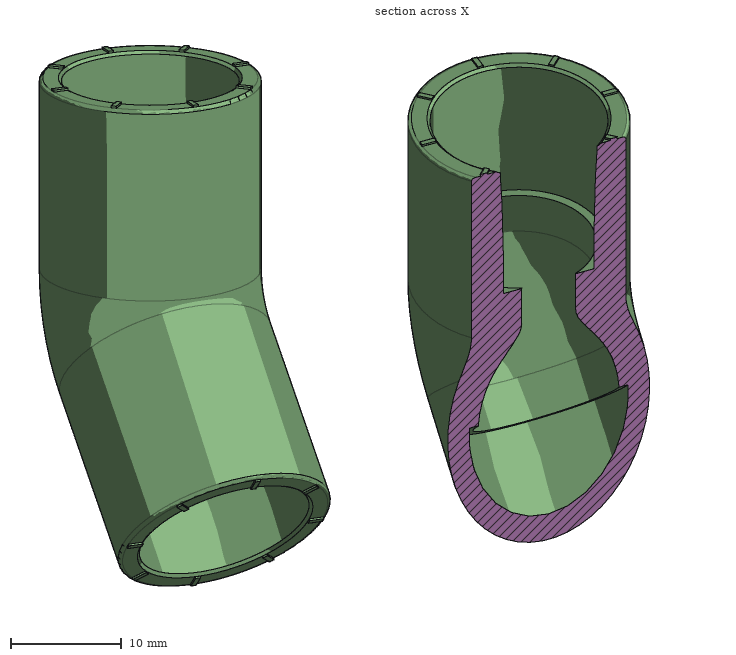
import cadquery as cq
import math


outer_radius = 10.05
bore_radius = 7.0
bend_angle = 45.0
bend_radius = 10.98
leg_length = 18.0

socket_depth = 14.0
socket_mouth_radius = 8.05
socket_floor_radius = 7.85

outer_edge_fillet = 0.3
inner_edge_chamfer = 0.27
mark_count = 8
mark_width = 0.5
mark_height = 0.2

floor_height = leg_length - socket_depth
face_inner_radius = socket_mouth_radius + inner_edge_chamfer
face_outer_radius = outer_radius - outer_edge_fillet


def make_leg():
    """Socket leg standing on the XY plane, with its mouth at the top."""
    fillet_mid = outer_edge_fillet * (1 - math.sqrt(0.5))
    profile = (
        cq.Workplane("XZ")
        .moveTo(bore_radius, 0)
        .lineTo(outer_radius, 0)
        .lineTo(outer_radius, leg_length - outer_edge_fillet)
        .threePointArc(
            (outer_radius - fillet_mid, leg_length - fillet_mid),
            (face_outer_radius, leg_length),
        )
        .lineTo(face_inner_radius, leg_length)
        .lineTo(socket_mouth_radius, leg_length - inner_edge_chamfer)
        .lineTo(socket_floor_radius, floor_height)
        .lineTo(bore_radius, floor_height)
        .close()
    )
    leg = profile.revolve(360, (0, 0, 0), (0, 1, 0))
    return leg.union(make_marks())


def make_marks():
    """Ring of short radial bars, sunk into the mouth face so that they fuse with it."""
    return (
        cq.Workplane("XY", origin=(0, 0, leg_length - mark_height))
        .polarArray((face_inner_radius + face_outer_radius) / 2, 0, 360, mark_count)
        .rect(face_outer_radius - face_inner_radius, mark_width)
        .extrude(2 * mark_height)
    )


def make_bend():
    """Curved pipe that turns from straight down towards +X."""
    return (
        cq.Workplane("XY")
        .circle(outer_radius)
        .circle(bore_radius)
        .revolve(bend_angle, (bend_radius, 0, 0), (bend_radius, -1, 0))
    )


upright_leg = make_leg()

sloping_leg = upright_leg.mirror("XY").rotate(
    (bend_radius, 0, 0), (bend_radius, -1, 0), bend_angle
)

result = make_bend().union(upright_leg).union(sloping_leg)